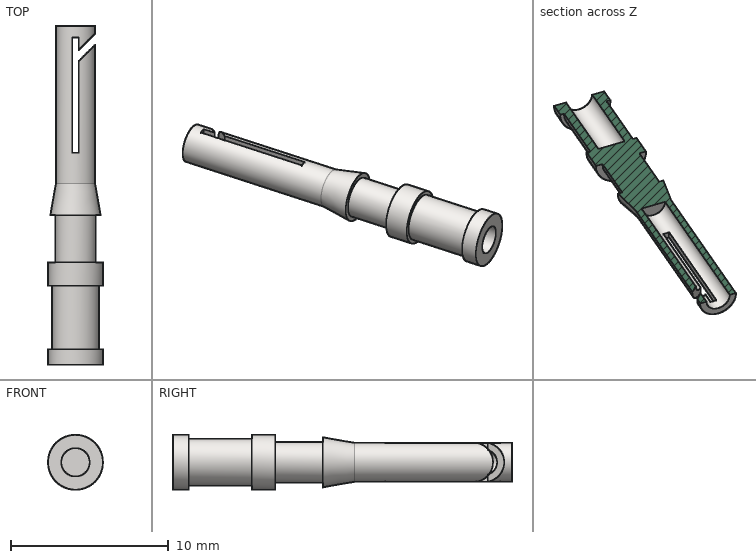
import math

import cadquery as cq

total_length = 21.5

collar_diameter = 3.5
barrel_diameter = 3.0
neck_diameter = 2.6
barb_diameter = 3.2
socket_diameter = 2.5

end_collar_length = 1.0
barrel_length = 4.0
middle_collar_length = 1.5
neck_length = 3.0
barb_length = 2.0

barrel_start = end_collar_length
middle_collar_start = barrel_start + barrel_length
neck_start = middle_collar_start + middle_collar_length
barb_start = neck_start + neck_length
socket_start = barb_start + barb_length
socket_length = total_length - socket_start

wire_bore_diameter = 1.8
wire_bore_depth = middle_collar_start
socket_bore_diameter = 1.6

slot_width = 0.4
slot_start = 13.45
slot_end = 20.75
side_slot_width = 0.5
side_slot_angle = 45.0
side_slot_root = 19.4


def rod(start, length, diameter, end_diameter=None):
    """Cylinder along +Y, or a cone if it ends at a different diameter."""
    if end_diameter is None:
        end_diameter = diameter
    profile = [
        (0, start),
        (diameter / 2, start),
        (end_diameter / 2, start + length),
        (0, start + length),
    ]
    return cq.Workplane("XY").polyline(profile).close().revolve(360, (0, 0), (0, 1))


def turned_body():
    body = rod(0, end_collar_length, collar_diameter)
    body = body.union(rod(barrel_start, barrel_length, barrel_diameter))
    body = body.union(rod(middle_collar_start, middle_collar_length, collar_diameter))
    body = body.union(rod(neck_start, neck_length, neck_diameter))
    body = body.union(rod(barb_start, barb_length, barb_diameter, socket_diameter))
    return body.union(rod(socket_start, socket_length, socket_diameter))


def lengthwise_slot():
    return (
        cq.Workplane("XY")
        .center(0, (slot_start + slot_end) / 2)
        .rect(slot_width, slot_end - slot_start)
        .extrude(socket_diameter, both=True)
    )


def side_slot():
    """Slanted slot from the lengthwise slot out through the +X side."""
    angle = math.radians(side_slot_angle)
    half_rise = side_slot_width / math.cos(angle) / 2
    outer_x = socket_diameter
    outer_y = side_slot_root + outer_x * math.tan(angle)
    outline = [
        (0, side_slot_root - half_rise),
        (outer_x, outer_y - half_rise),
        (outer_x, outer_y + half_rise),
        (0, side_slot_root + half_rise),
    ]
    return cq.Workplane("XY").polyline(outline).close().extrude(socket_diameter, both=True)


result = turned_body()
result = result.cut(rod(0, wire_bore_depth, wire_bore_diameter))
result = result.cut(rod(socket_start, socket_length, socket_bore_diameter))
result = result.cut(lengthwise_slot())
result = result.cut(side_slot())